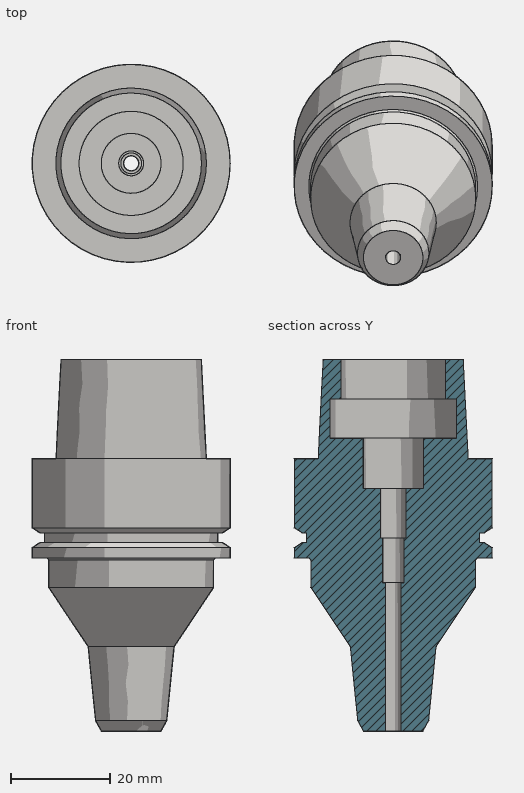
import cadquery as cq

total_height = 75.0

taper_top_diameter = 28.35
taper_base_diameter = 30.4
flange_diameter = 40.0
groove_mouth_diameter = 36.75
groove_diameter = 35.0
neck_diameter = 33.3
nose_top_diameter = 17.4
nose_bottom_diameter = 14.4
tip_diameter = 12.0

taper_height = 20.0
upper_flange_height = 13.95
groove_lip_height = 1.05
groove_height = 1.9
lower_flange_height = 2.1
neck_relief = 0.4
neck_height = 5.9
cone_height = 11.9
tip_height = 2.2

mouth_bore = (21.0, 8.0)
undercut_bore = (25.5, 15.9)
thread_bore = (12.1, 26.0)
screw_bore = (5.0, 36.0)
stop_bore = (4.2, 45.0)
through_bore = (3.0, total_height)

flange_top_z = total_height - taper_height
upper_lip_z = flange_top_z - upper_flange_height
groove_top_z = upper_lip_z - groove_lip_height
groove_bottom_z = groove_top_z - groove_height
lower_lip_z = groove_bottom_z - groove_lip_height
flange_bottom_z = lower_lip_z - lower_flange_height
neck_bottom_z = flange_bottom_z - neck_height
nose_top_z = neck_bottom_z - cone_height


def turned_body():
    """Solid outside shape, revolved from a half profile given as (diameter, z)."""
    outline = [
        (0, total_height),
        (taper_top_diameter, total_height),
        (taper_base_diameter, flange_top_z),
        (flange_diameter, flange_top_z),
        (flange_diameter, upper_lip_z),
        (groove_mouth_diameter, groove_top_z),
        (groove_diameter, groove_top_z),
        (groove_diameter, groove_bottom_z),
        (groove_mouth_diameter, groove_bottom_z),
        (flange_diameter, lower_lip_z),
        (flange_diameter, flange_bottom_z),
        (neck_diameter + 2 * neck_relief, flange_bottom_z),
        (neck_diameter, flange_bottom_z - neck_relief),
        (neck_diameter, neck_bottom_z),
        (nose_top_diameter, nose_top_z),
        (nose_bottom_diameter, tip_height),
        (tip_diameter, 0),
        (0, 0),
    ]
    half_profile = [(diameter / 2, z) for diameter, z in outline]
    return cq.Workplane("XZ").polyline(half_profile).close().revolve(360, (0, 0), (0, 1))


def stepped_bore():
    """Stack of coaxial cylinders, each starting at the floor of the one above."""
    cavity = cq.Workplane("XY")
    start_depth = 0
    for diameter, depth in (mouth_bore, undercut_bore, thread_bore, screw_bore, stop_bore, through_bore):
        section = (
            cq.Workplane("XY")
            .workplane(offset=total_height - depth)
            .circle(diameter / 2)
            .extrude(depth - start_depth)
        )
        cavity = cavity.add(section)
        start_depth = depth
    return cavity.combine()


result = turned_body().cut(stepped_bore())